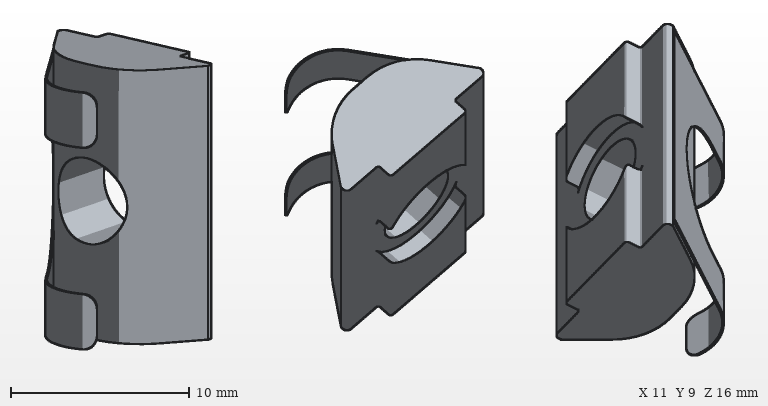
import cadquery as cq
import math

length = 16.0
body_depth = 5.5
flank_angle = math.radians(55)
nose_flat = 1.12
nose_radius = 4.0
half_width = 5.47
wing_radius = 0.32

tongue_width = 6.0
tongue_height = 1.0
tongue_edge_radius = 0.2
tongue_root_radius = 0.15

hole_diameter = 5.0
relief_diameter = 7.0

sheet = 0.1
spring_height = 15.0
spring_depth = 9.0
spring_start = 1.49
bend_radius = 3.0
tip_x = 3.07
window_height = 8.55
window_start = 3.09
recess_depth = 0.05
tab_radius = 0.8

sin_flank = math.sin(flank_angle)
cos_flank = math.cos(flank_angle)
tan_flank = math.tan(flank_angle)

flank_end_x = nose_flat / 2 + nose_radius * sin_flank
flank_end_y = -body_depth + nose_radius * (1 - cos_flank)


def left_flank_x(y):
    """X of the left flank, extended as a straight line, at a given Y."""
    return -flank_end_x - (y - flank_end_y) / tan_flank


def circle_point(center, radius, angle):
    """Point on a circle, with the angle measured from -Y toward +X."""
    return (center[0] + radius * math.sin(angle), center[1] - radius * math.cos(angle))


def make_body():
    half_tongue = tongue_width / 2
    rim_y = flank_end_y + (half_width - flank_end_x) * tan_flank
    right_nose = (nose_flat / 2, -body_depth + nose_radius)
    left_nose = (-nose_flat / 2, -body_depth + nose_radius)
    body = (
        cq.Workplane("XY")
        .workplane(offset=-length / 2)
        .moveTo(-half_tongue, 0)
        .lineTo(half_tongue, 0)
        .lineTo(half_tongue, -tongue_height)
        .lineTo(half_width, -tongue_height)
        .lineTo(half_width, rim_y)
        .lineTo(flank_end_x, flank_end_y)
        .threePointArc(
            circle_point(right_nose, nose_radius, flank_angle / 2),
            (nose_flat / 2, -body_depth),
        )
        .lineTo(-nose_flat / 2, -body_depth)
        .threePointArc(
            circle_point(left_nose, nose_radius, -flank_angle / 2),
            (-flank_end_x, flank_end_y),
        )
        .lineTo(-half_width, rim_y)
        .lineTo(-half_width, -tongue_height)
        .lineTo(-half_tongue, -tongue_height)
        .close()
        .extrude(length)
    )
    for x, y, radius in (
        (half_tongue, 0, tongue_edge_radius),
        (half_tongue, -tongue_height, tongue_root_radius),
        (half_width, -tongue_height, wing_radius),
    ):
        for side in (-1, 1):
            corner = cq.selectors.NearestToPointSelector((side * x, y, 0))
            body = body.edges("|Z").edges(corner).fillet(radius)
    return body


def bore(diameter, depth):
    """Cylinder along Y, from the back of the body to the given depth."""
    return cq.Workplane("XZ").circle(diameter / 2).extrude(depth)


def make_window(inward_depth):
    """Round-ended cutter square to the left flank and open toward the spring's free end.

    It reaches inward_depth below the flank and well past the spring on the outside.
    """
    window_radius = window_height / 2
    reach = 2 * spring_depth
    floor_plane = cq.Plane(
        origin=(left_flank_x(-window_start), -window_start, 0),
        xDir=(cos_flank, -sin_flank, 0),
        normal=(-sin_flank, -cos_flank, 0),
    )
    floor = cq.Workplane(floor_plane).workplane(offset=-inward_depth).center(window_radius, 0)
    height = inward_depth + reach
    round_end = floor.circle(window_radius).extrude(height)
    open_end = floor.center(reach / 2, 0).rect(reach, window_height).extrude(height)
    return round_end.union(open_end)


def corner_cutter(tip_plane, z, toward_tab):
    """Waste outside a rounded tab corner at height z, with the tab on the toward_tab side."""
    square = (
        cq.Workplane(tip_plane)
        .center(-tab_radius / 2, z + toward_tab * tab_radius / 2)
        .rect(tab_radius, tab_radius)
        .extrude(tab_radius, both=True)
    )
    round_end = (
        cq.Workplane(tip_plane)
        .center(-tab_radius, z + toward_tab * tab_radius)
        .circle(tab_radius)
        .extrude(tab_radius, both=True)
    )
    return square.cut(round_end)


def make_spring():
    bend_y = -spring_depth + bend_radius * (1 - cos_flank)
    inner_start = (left_flank_x(-spring_start), -spring_start)
    outer_start = (inner_start[0] - sheet * sin_flank, inner_start[1] - sheet * cos_flank)
    outer_bend_x = outer_start[0] + (outer_start[1] - bend_y) / tan_flank
    center = (outer_bend_x + bend_radius * sin_flank, bend_y + bend_radius * cos_flank)
    tip_angle = math.asin((tip_x - center[0]) / bend_radius)
    middle_angle = (tip_angle - flank_angle) / 2
    inner_radius = bend_radius - sheet
    spring = (
        cq.Workplane("XY")
        .workplane(offset=-spring_height / 2)
        .moveTo(*outer_start)
        .lineTo(*circle_point(center, bend_radius, -flank_angle))
        .threePointArc(
            circle_point(center, bend_radius, middle_angle),
            circle_point(center, bend_radius, tip_angle),
        )
        .lineTo(*circle_point(center, inner_radius, tip_angle))
        .threePointArc(
            circle_point(center, inner_radius, middle_angle),
            circle_point(center, inner_radius, -flank_angle),
        )
        .lineTo(*inner_start)
        .close()
        .extrude(spring_height)
    )

    spring = spring.cut(make_window(spring_depth))

    chord_angle = tip_angle - tab_radius / bend_radius / 2
    tip_plane = cq.Plane(
        origin=(*circle_point(center, bend_radius, tip_angle), 0),
        xDir=(math.cos(chord_angle), math.sin(chord_angle), 0),
        normal=(math.sin(chord_angle), -math.cos(chord_angle), 0),
    )
    for z, toward_tab in (
        (window_height / 2, 1),
        (spring_height / 2, -1),
        (-window_height / 2, -1),
        (-spring_height / 2, 1),
    ):
        spring = spring.cut(corner_cutter(tip_plane, z, toward_tab))
    return spring


body = make_body()
body = body.cut(bore(hole_diameter, body_depth))
body = body.cut(bore(relief_diameter, tongue_height))
body = body.cut(make_window(recess_depth))
result = body.union(make_spring())